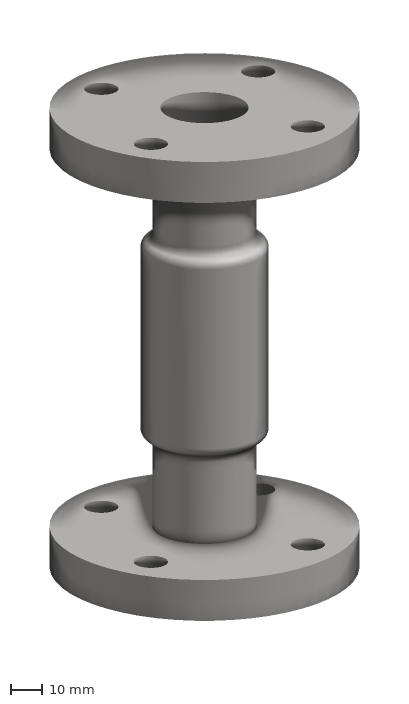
import cadquery as cq
import math

total_length = 158.0
bore_diameter = 28.5

flange_diameter = 100.0
flange_thickness = 14.0
bolt_circle_diameter = 75.0
bolt_hole_diameter = 11.0
bolt_hole_count = 4
first_bolt_angle = 45.0

pipe_diameter = 33.7
sleeve_diameter = 41.4
sleeve_length = 73.3
shoulder_radius = 3.0

half_length = total_length / 2
pipe_radius = pipe_diameter / 2
sleeve_radius = sleeve_diameter / 2

shoulder_step = (sleeve_radius - pipe_radius) / 2
shoulder_sweep = math.acos(1 - shoulder_step / shoulder_radius)
arc_height = shoulder_radius * math.sin(shoulder_sweep)
half_sweep_step = shoulder_radius * (1 - math.cos(shoulder_sweep / 2))
half_sweep_height = shoulder_radius * math.sin(shoulder_sweep / 2)


def make_flange(bottom_z):
    """Round flange disc standing on the given height."""
    return (
        cq.Workplane("XY")
        .workplane(offset=bottom_z)
        .circle(flange_diameter / 2)
        .extrude(flange_thickness)
    )


def make_sleeved_pipe():
    """Solid pipe with the sleeve, revolved about Z from a half outline on the -X side."""
    sleeve_end = sleeve_length / 2
    shoulder_middle = sleeve_end - arc_height
    sleeve_straight_end = shoulder_middle - arc_height
    middle_radius = pipe_radius + shoulder_step
    outline = (
        cq.Workplane("XZ")
        .moveTo(0, -half_length)
        .lineTo(-pipe_radius, -half_length)
        .lineTo(-pipe_radius, -sleeve_end)
        .threePointArc(
            (-pipe_radius - half_sweep_step, -sleeve_end + half_sweep_height),
            (-middle_radius, -shoulder_middle),
        )
        .threePointArc(
            (-sleeve_radius + half_sweep_step, -sleeve_straight_end - half_sweep_height),
            (-sleeve_radius, -sleeve_straight_end),
        )
        .lineTo(-sleeve_radius, sleeve_straight_end)
        .threePointArc(
            (-sleeve_radius + half_sweep_step, sleeve_straight_end + half_sweep_height),
            (-middle_radius, shoulder_middle),
        )
        .threePointArc(
            (-pipe_radius - half_sweep_step, sleeve_end - half_sweep_height),
            (-pipe_radius, sleeve_end),
        )
        .lineTo(-pipe_radius, half_length)
        .lineTo(0, half_length)
        .close()
    )
    return outline.revolve(360, (0, 0, 0), (0, 1, 0))


def make_bore():
    """Straight bore through the whole part."""
    return cq.Workplane("XY").circle(bore_diameter / 2).extrude(half_length, both=True)


def make_bolt_holes():
    """Bolt hole cutters running through both flanges."""
    return (
        cq.Workplane("XY")
        .polarArray(bolt_circle_diameter / 2, first_bolt_angle, 360, bolt_hole_count)
        .circle(bolt_hole_diameter / 2)
        .extrude(half_length, both=True)
    )


lower_flange = make_flange(-half_length)
upper_flange = make_flange(half_length - flange_thickness)

result = (
    make_sleeved_pipe()
    .union(lower_flange)
    .union(upper_flange)
    .cut(make_bore())
    .cut(make_bolt_holes())
)